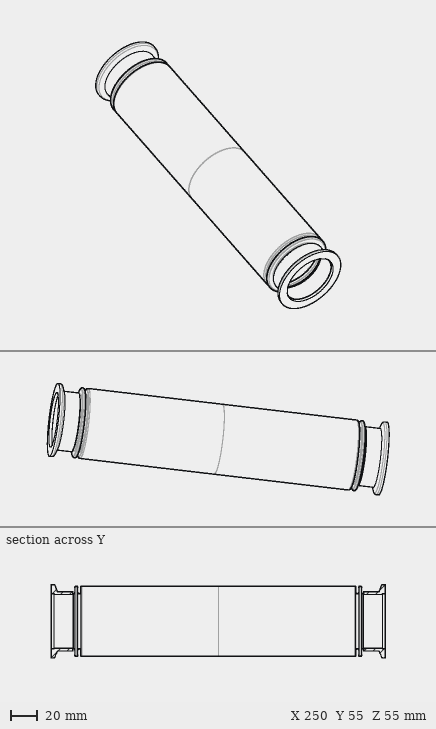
import cadquery as cq
import math

length = 250.0
half_length = length / 2

flange_radius = 27.5
rim_round = 1.5
taper_angle = 20.0
taper_foot = 4.8

cuff_radius = 22.2
cuff_bore_radius = 20.0
cuff_end = 16.2
seat_radius = 20.5
seat_depth = 2.2

wall = 0.38
neck_radius = 20.8
crest_radius = 26.5
first_neck = 16.8
neck_bend = 0.88
crest_bend = 1.2
half_pitch = neck_bend + crest_bend

outer_neck_x = half_length - first_neck
crest_x = outer_neck_x - half_pitch
inner_neck_x = crest_x - half_pitch
sleeve_end_x = inner_neck_x - half_pitch


def revolve_about_x(profile):
    return profile.close().revolve(360, (0, 0, 0), (1, 0, 0))


def bellows_body(inset):
    """Solid +X half of the bellows, bounded by the outer skin moved inward by inset."""
    crest_r = crest_radius - inset
    neck_r = neck_radius - inset
    crest_b = crest_bend - inset
    neck_b = neck_bend + inset
    crest_side = crest_r - crest_b
    neck_side = neck_r + neck_b
    cuff_x = half_length - cuff_end

    profile = (
        cq.Workplane("XY")
        .lineTo(0, crest_r)
        .lineTo(sleeve_end_x, crest_r)
        .radiusArc((sleeve_end_x + crest_b, crest_side), crest_b)
        .lineTo(inner_neck_x - neck_b, neck_side)
        .radiusArc((inner_neck_x, neck_r), -neck_b)
        .radiusArc((inner_neck_x + neck_b, neck_side), -neck_b)
        .lineTo(crest_x - crest_b, crest_side)
        .radiusArc((crest_x, crest_r), crest_b)
        .radiusArc((crest_x + crest_b, crest_side), crest_b)
        .lineTo(outer_neck_x - neck_b, neck_side)
        .radiusArc((outer_neck_x, neck_r), -neck_b)
        .lineTo(cuff_x, neck_r)
        .lineTo(cuff_x, 0)
    )
    return revolve_about_x(profile)


def flanged_cuff():
    """Cuff and flange at the +X end, with a stepped bore and a lip joining the outer neck."""
    cuff_x = half_length - cuff_end
    taper_foot_x = half_length - taper_foot
    rim_back_x = taper_foot_x + (flange_radius - cuff_radius) * math.tan(math.radians(taper_angle))
    seat_x = half_length - seat_depth

    profile = (
        cq.Workplane("XY")
        .moveTo(outer_neck_x, cuff_bore_radius)
        .lineTo(outer_neck_x, neck_radius)
        .lineTo(cuff_x, neck_radius)
        .lineTo(cuff_x, cuff_radius)
        .lineTo(taper_foot_x, cuff_radius)
        .lineTo(rim_back_x, flange_radius)
        .lineTo(half_length, flange_radius)
        .lineTo(half_length, seat_radius)
        .lineTo(seat_x, seat_radius)
        .lineTo(seat_x, cuff_bore_radius)
    )
    cuff = revolve_about_x(profile)
    rim_edge = cq.selectors.RadiusNthSelector(-1)
    return cuff.faces("%CONE").edges(rim_edge).fillet(rim_round)


bellows_half = bellows_body(0).cut(bellows_body(wall))
half = bellows_half.union(flanged_cuff())
result = half.union(half.mirror("YZ"))